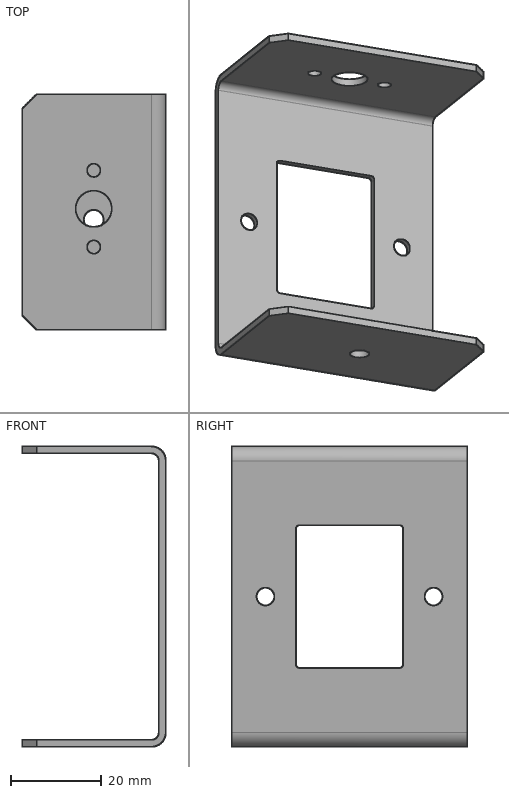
import cadquery as cq

depth = 31.89
width = 52.32
height = 66.71
thickness = 1.6
bend_outer_radius = 3.2
bend_inner_radius = bend_outer_radius - thickness
corner_chamfer = 3.2

flange_hole_x = 15.88
top_hole_diameter = 8.0
top_hole_y = 0.75
screw_hole_diameter = 2.95
screw_hole_spacing = 17.0
bottom_hole_diameter = 4.32
bottom_hole_y = -1.7

window_width = 23.7
window_height = 31.6
window_corner_radius = 0.75
web_hole_diameter = 3.89
web_hole_spacing = 37.3

web_mid_x = depth - thickness / 2
flange_mid_z = (height - thickness) / 2
cut_length = 2 * thickness


def rounded_block(x_size, z_size, bend_radius):
    """Block starting at X = 0, rounded along its two +X edges parallel to Y."""
    block = cq.Workplane("XY").box(x_size, width, z_size).translate((x_size / 2, 0, 0))
    return block.edges("|Y and >X").fillet(bend_radius)


def folded_sheet():
    """Web with two flanges, bent at constant sheet thickness."""
    outside = rounded_block(depth, height, bend_outer_radius)
    inside = rounded_block(depth - thickness, height - 2 * thickness, bend_inner_radius)
    return outside.cut(inside).edges("|Z and <X").chamfer(corner_chamfer)


def flange_hole(diameter, y, z):
    """Cutter along Z through the flange whose mid-plane is at z."""
    cutter = cq.Workplane("XY").circle(diameter / 2).extrude(cut_length)
    return cutter.translate((flange_hole_x, y, z - cut_length / 2))


def web_hole(y):
    """Cutter along X through the web at mid-height."""
    cutter = cq.Workplane("YZ").circle(web_hole_diameter / 2).extrude(cut_length)
    return cutter.translate((web_mid_x - cut_length / 2, y, 0))


def web_window():
    """Rectangular opening with small corner radii in the middle of the web."""
    cutter = cq.Workplane("XY").box(cut_length, window_width, window_height)
    return cutter.edges("|X").fillet(window_corner_radius).translate((web_mid_x, 0, 0))


result = folded_sheet().cut(web_window())
result = result.cut(flange_hole(top_hole_diameter, top_hole_y, flange_mid_z))
result = result.cut(flange_hole(bottom_hole_diameter, bottom_hole_y, -flange_mid_z))

for side in (-1, 1):
    screw_hole_y = top_hole_y + side * screw_hole_spacing / 2
    result = result.cut(flange_hole(screw_hole_diameter, screw_hole_y, flange_mid_z))
    result = result.cut(web_hole(side * web_hole_spacing / 2))